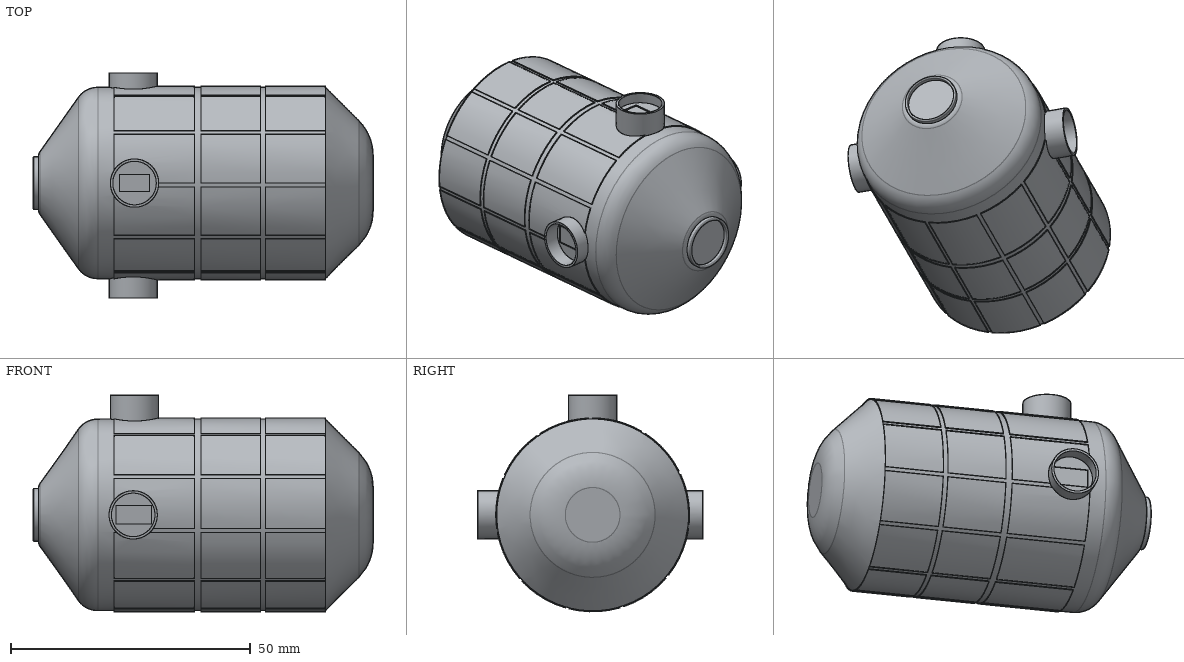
import cadquery as cq
import math

length = 71.0
body_radius = 20.0
nose_round = 5.0
nose_cone_angle = 54.3
tail_round = 10.4
tail_cone_start = 61.0
tail_cone_angle = 45.0
nose_shoulder_end = 13.5

neck_length = 1.1
neck_radius = 5.55
neck_bore_radius = 5.05
neck_bore_depth = 1.0
neck_blend_radius = 1.7
lip_radius = (neck_radius - neck_bore_radius) / 2

panel_radius = 20.2
panel_root_depth = 0.7
panel_count = 11
panel_gap_angle = 2.4
panel_gap_start = 87.6
panel_rows = [(16.9, 33.65), (35.0, 47.5), (48.5, tail_cone_start)]

port_radius = 5.05
port_bore_radius = 4.55
side_port_x = 20.9
top_port_x = 21.15
front_port_reach = 24.0
back_port_reach = 23.0
top_port_reach = 25.0
side_port_depth = 3.2
top_port_depth = 2.1
window_depth = 0.3
side_window = (7.4, 3.9)
side_window_shift = 0.15
top_window = (6.3, 3.55)


def make_body():
    """Revolve the half outline of the shell, its rounded ends and the recessed neck."""
    nose = math.radians(nose_cone_angle)
    tail = math.radians(tail_cone_angle)

    def on_arc(center, radius, angle):
        return (center[0] - radius * math.cos(angle), center[1] + radius * math.sin(angle))

    nose_normal = math.pi / 2 - nose
    tail_normal = math.pi / 2 + tail
    blend_center = (neck_length + neck_blend_radius, neck_radius)
    nose_center = (nose_shoulder_end, body_radius - nose_round)
    tail_center_x = length - tail_round
    cone_end_x = tail_center_x + tail_round * math.sin(tail)
    cone_end_radius = body_radius - (cone_end_x - tail_cone_start) * math.tan(tail)
    tail_center = (tail_center_x, cone_end_radius - tail_round * math.cos(tail))

    profile = (
        cq.Workplane("XY")
        .moveTo(neck_bore_depth, 0)
        .lineTo(neck_bore_depth, neck_bore_radius)
        .lineTo(lip_radius, neck_bore_radius)
        .threePointArc((0, neck_bore_radius + lip_radius), (lip_radius, neck_radius))
        .lineTo(neck_length, neck_radius)
        .threePointArc(
            on_arc(blend_center, neck_blend_radius, nose_normal / 2),
            on_arc(blend_center, neck_blend_radius, nose_normal),
        )
        .lineTo(*on_arc(nose_center, nose_round, nose_normal))
        .threePointArc(
            on_arc(nose_center, nose_round, (nose_normal + math.pi / 2) / 2),
            (nose_shoulder_end, body_radius),
        )
        .lineTo(tail_cone_start, body_radius)
        .lineTo(*on_arc(tail_center, tail_round, tail_normal))
        .threePointArc(
            on_arc(tail_center, tail_round, (tail_normal + math.pi) / 2),
            (length, tail_center[1]),
        )
        .lineTo(length, 0)
        .close()
    )
    return profile.revolve(360, (0, 0, 0), (1, 0, 0))


def make_panel(start_x, end_x, start_angle, end_angle):
    """One curved plate, rooted in the shell so that it fuses with it."""
    root_radius = body_radius - panel_root_depth

    def at(radius, angle):
        a = math.radians(angle)
        return (-radius * math.cos(a), radius * math.sin(a))

    middle_angle = (start_angle + end_angle) / 2
    return (
        cq.Workplane("YZ", origin=(start_x, 0, 0))
        .moveTo(*at(root_radius, start_angle))
        .lineTo(*at(panel_radius, start_angle))
        .threePointArc(at(panel_radius, middle_angle), at(panel_radius, end_angle))
        .lineTo(*at(root_radius, end_angle))
        .threePointArc(at(root_radius, middle_angle), at(root_radius, start_angle))
        .close()
        .extrude(end_x - start_x)
    )


def add_panels(body):
    """Cover the shell with rows of panels, separated by narrow gaps."""
    pitch = 360 / panel_count
    for start_x, end_x in panel_rows:
        for i in range(panel_count):
            start_angle = panel_gap_start + panel_gap_angle + i * pitch
            end_angle = start_angle + pitch - panel_gap_angle
            body = body.union(make_panel(start_x, end_x, start_angle, end_angle))
    return body


def add_port(body, x, direction, reach, depth, window, window_shift=0):
    """A round port with a blind bore and a shallow rectangular window in its floor."""
    def plane(distance):
        """Plane across the port at the given distance from the vessel axis."""
        origin = cq.Vector(x, 0, 0) + cq.Vector(*direction) * distance
        return cq.Workplane(cq.Plane(origin=origin, xDir=(1, 0, 0), normal=direction))

    floor = reach - depth
    tube = plane(0).circle(port_radius).extrude(reach)
    bore = plane(floor).circle(port_bore_radius).extrude(depth)
    recess = plane(floor).center(window_shift, 0).rect(*window).extrude(-window_depth)
    return body.union(tube).cut(bore).cut(recess)


result = add_panels(make_body())
result = add_port(result, side_port_x, (0, -1, 0), front_port_reach, side_port_depth,
                  side_window, side_window_shift)
result = add_port(result, side_port_x, (0, 1, 0), back_port_reach, side_port_depth,
                  side_window, side_window_shift)
result = add_port(result, top_port_x, (0, 0, 1), top_port_reach, top_port_depth, top_window)